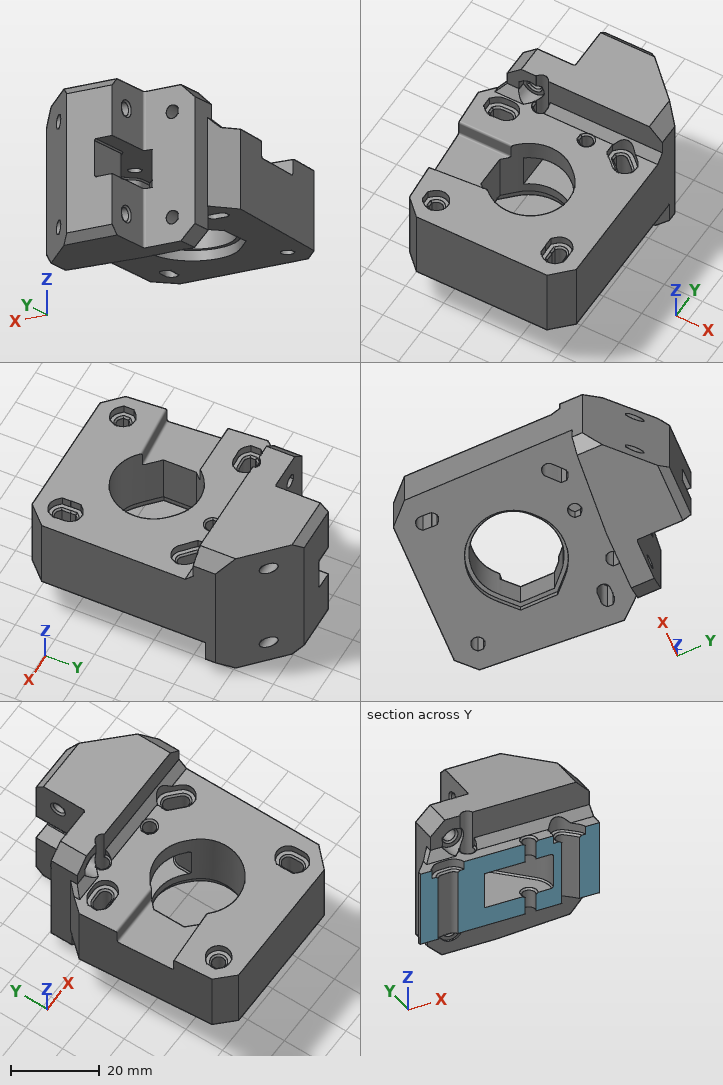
import cadquery as cq
import math

WIDTH = 45.7
LENGTH = 63.5
HEIGHT = 37.0
MID_Z = HEIGHT / 2

SWING_DEGREES = 4.0
LEAN = math.tan(math.radians(SWING_DEGREES))

PLATE_THICKNESS = 18.9
PLATE_BOTTOM = MID_Z - PLATE_THICKNESS / 2
PLATE_TOP = MID_Z + PLATE_THICKNESS / 2
PLATE_BACK_Y = 44.8
PLATE_CORNER_Y = 38.9
PLATE_LEFT_CHAMFER = 4.3
PLATE_RIGHT_CHAMFER = 4.8

BLOCK_LEFT = 5.15
BLOCK_FRONT_UPPER = 43.0
BLOCK_FRONT_LOWER = 44.45
LOWER_FACE_BEND_X = 22.75
ARM_BACK_Y = 50.1
BODY_LEFT = 18.7
INNER_CORNER_RADIUS = 0.5
BACK_RIGHT_CHAMFER = 14.9
BLOCK_CORNER_HEIGHT = 3.5
BLOCK_LEFT_CORNER_WIDTH = 3.7
BLOCK_RIGHT_CORNER_WIDTH = 3.4
BLOCK_BACK_CHAMFER = 2.05

FOOT_SIZE = 2.05

SCREW_RADIUS = 3.2 / 2
RIM_RADIUS = 4.05 / 2
HEAD_RADIUS = 6.0 / 2
RIM_DEPTH = RIM_RADIUS - SCREW_RADIUS
HEAD_DEPTH = 2.05

MOTOR_PIVOT = (8.2, 6.5)
MOTOR_SCREW_PITCH = 31.0
BORE_X = MOTOR_PIVOT[0] + MOTOR_SCREW_PITCH / 2
BORE_Y = MOTOR_PIVOT[1] + MOTOR_SCREW_PITCH / 2
BORE_RADIUS = 20.0 / 2
BOSS_RADIUS = 11.0
BOSS_DEPTH = 2.5

CHAMBER_HEIGHT = 9.0
CHAMBER_BOTTOM = MID_Z - CHAMBER_HEIGHT / 2
CHAMBER_CHAMFER = 0.4
CHAMBER_RIGHT = 30.55
CHAMBER_LEFT = 16.5
CHAMBER_FRONT_Y = 25.4
IDLER_CENTER = (28.2, 39.05)
IDLER_POCKET_RADIUS = 5.8
IDLER_BLEND_RADIUS = 2.55
EXIT_WALL_Y = 52.9
EXIT_BLEND_RADIUS = 2.2

SLOT_DEPTH = 4.0
SLOT_BACK_Y = 29.0
SLOT_FRONT_Y = 14.2
SLOT_EDGE_RADIUS = 0.6

TALL_HOLE_CENTER = (14.35, 42.4)
TALL_HOLE_RADIUS = 3.3 / 2
FRONT_SCREW_X = 11.2
BLOCK_SCREW_SPACING = 24.95
FRONT_HEAD_FLOOR_Y = 44.95
FRONT_HEAD_REACH = 5.1
SIDE_SCREW_Y = 57.5

MARGIN = 3.2
EDGE_TOLERANCE = 0.05


def level(z):
    return cq.Plane(origin=(0, 0, z))


def facing_front(y):
    return cq.Plane(origin=(0, y, 0), xDir=(1, 0, 0), normal=(0, -1, 0))


def teardrop(plane, center, radius):
    """Circle with 45 degree tangents on its -X side, cut off flat where the circle ends."""
    diagonal = radius * math.sqrt(0.5)
    half_flat = radius * math.tan(math.pi / 8)
    return (
        cq.Workplane(plane)
        .center(*center)
        .moveTo(-diagonal, -diagonal)
        .threePointArc((radius, 0), (-diagonal, diagonal))
        .lineTo(-radius, half_flat)
        .lineTo(-radius, -half_flat)
        .close()
    )


def plate_hole(center, radius, bottom, top, flare=0):
    """Teardrop hole along Z; flare=45 widens it upward."""
    return teardrop(level(bottom), center, radius).extrude(top - bottom, taper=-flare)


def swung_hole(center, radius, bottom, top, flare=0):
    """Plate hole lengthened into the curved slot that it sweeps as the motor swings."""
    pivot_x, pivot_y = MOTOR_PIVOT
    offset_x = center[0] - pivot_x
    offset_y = center[1] - pivot_y
    distance = math.hypot(offset_x, offset_y)
    hole = plate_hole(center, radius, bottom, top, flare)
    if distance == 0:
        return hole
    swing = math.radians(SWING_DEGREES)
    swung_center = (
        pivot_x + offset_x * math.cos(swing) - offset_y * math.sin(swing),
        pivot_y + offset_x * math.sin(swing) + offset_y * math.cos(swing),
    )
    top_radius = radius + (top - bottom) * math.tan(math.radians(flare))
    outward = cq.Plane(
        origin=(pivot_x, pivot_y, 0),
        xDir=(offset_x, offset_y, 0),
        normal=(offset_y, -offset_x, 0),
    )
    band = (
        cq.Workplane(outward)
        .polyline([
            (distance - radius, bottom),
            (distance + radius, bottom),
            (distance + top_radius, top),
            (distance - top_radius, top),
        ])
        .close()
        .revolve(SWING_DEGREES, (0, 0), (0, 1))
    )
    return hole.union(plate_hole(swung_center, radius, bottom, top, flare)).union(band)


def build_plate():
    front_left_x = (PLATE_CORNER_Y - PLATE_LEFT_CHAMFER) * LEAN
    outline = [
        (0, PLATE_CORNER_Y),
        (front_left_x, PLATE_LEFT_CHAMFER),
        (front_left_x + PLATE_LEFT_CHAMFER, 0),
        (WIDTH - PLATE_RIGHT_CHAMFER, 0),
        (WIDTH, PLATE_RIGHT_CHAMFER),
        (WIDTH, PLATE_BACK_Y),
        (BLOCK_LEFT, PLATE_BACK_Y),
    ]
    plate = cq.Workplane(level(PLATE_BOTTOM)).polyline(outline).close().extrude(PLATE_THICKNESS)
    foot_outline = cq.Workplane(level(PLATE_TOP)).polyline(outline).close().extrude(FOOT_SIZE)
    rim = plate_hole(TALL_HOLE_CENTER, TALL_HOLE_RADIUS, PLATE_TOP - RIM_DEPTH, PLATE_TOP, flare=45)
    return cut_side_slot(plate).cut(rim).union(build_foot(foot_outline))


def cut_side_slot(plate):
    """Open slot from the left side into the bore, with rounded upper and lower edges."""
    slot = (
        cq.Workplane(level(PLATE_TOP - SLOT_DEPTH))
        .polyline([
            (-MARGIN, SLOT_FRONT_Y - MARGIN * LEAN),
            (BORE_X, SLOT_FRONT_Y + BORE_X * LEAN),
            (BORE_X, SLOT_BACK_Y),
            (-MARGIN, SLOT_BACK_Y),
        ])
        .close()
        .extrude(SLOT_DEPTH)
        .faces("<Z")
        .edges("not(<X or >X)")
        .fillet(SLOT_EDGE_RADIUS)
    )
    slot_rim = cq.selectors.BoxSelector(
        (MARGIN, SLOT_FRONT_Y - MARGIN, PLATE_TOP - EDGE_TOLERANCE),
        (BORE_X - MARGIN, SLOT_BACK_Y + MARGIN, PLATE_TOP + EDGE_TOLERANCE),
    )
    return plate.cut(slot).edges(slot_rim).fillet(SLOT_EDGE_RADIUS)


def build_foot(plate_outline):
    """Slope along the front and left of the block, kept inside the plate outline."""
    left = BLOCK_LEFT - FOOT_SIZE
    front = BLOCK_FRONT_UPPER - FOOT_SIZE
    foot = (
        cq.Workplane(level(PLATE_TOP))
        .moveTo(left, front)
        .lineTo(WIDTH + MARGIN, front)
        .lineTo(WIDTH + MARGIN, LENGTH)
        .lineTo(left, LENGTH)
        .close()
        .extrude(FOOT_SIZE, taper=45)
        .intersect(plate_outline)
    )
    return foot.cut(tall_hole_clearance())


def tall_hole_clearance():
    """Clears the foot around the tall hole and in front of its 45 degree tangent."""
    hole_x, hole_y = TALL_HOLE_CENTER
    tangent_rise = hole_y - hole_x + TALL_HOLE_RADIUS * math.sqrt(2)
    front = hole_y - RIM_RADIUS
    corner = (
        cq.Workplane(level(PLATE_TOP))
        .polyline([
            (front - tangent_rise, front),
            (hole_x, front),
            (hole_x, BLOCK_FRONT_UPPER),
            (BLOCK_FRONT_UPPER - tangent_rise, BLOCK_FRONT_UPPER),
        ])
        .close()
        .extrude(FOOT_SIZE)
    )
    return corner.union(plate_hole(TALL_HOLE_CENTER, RIM_RADIUS, PLATE_TOP, PLATE_TOP + FOOT_SIZE))


def build_block():
    plan = (
        cq.Workplane("XY")
        .polyline([
            (BLOCK_LEFT, BLOCK_FRONT_UPPER),
            (WIDTH, BLOCK_FRONT_UPPER),
            (WIDTH, LENGTH - BACK_RIGHT_CHAMFER),
            (WIDTH - BACK_RIGHT_CHAMFER, LENGTH),
            (BODY_LEFT, LENGTH),
            (BODY_LEFT, ARM_BACK_Y),
            (BLOCK_LEFT, ARM_BACK_Y),
        ])
        .close()
        .extrude(HEIGHT)
    )
    inner_corner = cq.selectors.BoxSelector(
        (BODY_LEFT - EDGE_TOLERANCE, ARM_BACK_Y - EDGE_TOLERANCE, 0),
        (BODY_LEFT + EDGE_TOLERANCE, ARM_BACK_Y + EDGE_TOLERANCE, HEIGHT),
    )
    plan = plan.edges(inner_corner).fillet(INNER_CORNER_RADIUS)
    front_shape = (
        cq.Workplane(facing_front(LENGTH))
        .polyline([
            (BLOCK_LEFT, BLOCK_CORNER_HEIGHT),
            (BLOCK_LEFT + BLOCK_LEFT_CORNER_WIDTH, 0),
            (WIDTH - BLOCK_RIGHT_CORNER_WIDTH, 0),
            (WIDTH, BLOCK_CORNER_HEIGHT),
            (WIDTH, HEIGHT - BLOCK_CORNER_HEIGHT),
            (WIDTH - BLOCK_RIGHT_CORNER_WIDTH, HEIGHT),
            (BLOCK_LEFT + BLOCK_LEFT_CORNER_WIDTH, HEIGHT),
            (BLOCK_LEFT, HEIGHT - BLOCK_CORNER_HEIGHT),
        ])
        .close()
        .extrude(LENGTH)
    )
    side_shape = (
        cq.Workplane("XY")
        .box(WIDTH, LENGTH, HEIGHT, centered=False)
        .edges(">Y and |X")
        .chamfer(BLOCK_BACK_CHAMFER)
    )
    return plan.intersect(front_shape).intersect(side_shape).cut(lower_front_relief())


def lower_front_relief():
    """Sets the block front back below the plate; its right part leans slightly backward."""
    right = WIDTH + MARGIN
    lean = (right - LOWER_FACE_BEND_X) * LEAN
    return (
        cq.Workplane("XY")
        .polyline([
            (0, 0),
            (right, 0),
            (right, BLOCK_FRONT_LOWER + lean),
            (LOWER_FACE_BEND_X, BLOCK_FRONT_LOWER),
            (0, BLOCK_FRONT_LOWER),
        ])
        .close()
        .extrude(PLATE_BOTTOM)
    )


def motor_cuts():
    """Bore, boss recess below it and the four head-recessed screw holes."""
    bore = (BORE_X, BORE_Y)
    head_floor = PLATE_TOP - HEAD_DEPTH
    cuts = swung_hole(bore, BORE_RADIUS, PLATE_BOTTOM, HEIGHT)
    cuts = cuts.union(swung_hole(bore, BOSS_RADIUS, PLATE_BOTTOM, PLATE_BOTTOM + BOSS_DEPTH))
    for x in (MOTOR_PIVOT[0], MOTOR_PIVOT[0] + MOTOR_SCREW_PITCH):
        for y in (MOTOR_PIVOT[1], MOTOR_PIVOT[1] + MOTOR_SCREW_PITCH):
            screw = (x, y)
            shaft = swung_hole(screw, SCREW_RADIUS, PLATE_BOTTOM, head_floor)
            rim = swung_hole(screw, SCREW_RADIUS, head_floor - RIM_DEPTH, head_floor, flare=45)
            head = swung_hole(screw, HEAD_RADIUS, head_floor, HEIGHT)
            cuts = cuts.union(shaft).union(rim).union(head)
    return cuts


def belt_chamber():
    """Chamber from the bore past the idler, leaving through the left and back of the body."""
    idler_x, idler_y = IDLER_CENTER
    diagonal = math.sqrt(0.5)

    blend_x = CHAMBER_RIGHT + IDLER_BLEND_RADIUS
    reach = IDLER_POCKET_RADIUS + IDLER_BLEND_RADIUS
    blend_y = idler_y - math.sqrt(reach**2 - (blend_x - idler_x) ** 2)
    share = IDLER_POCKET_RADIUS / reach
    blend_end = (idler_x + (blend_x - idler_x) * share, idler_y + (blend_y - idler_y) * share)
    blend_angle = math.atan2(blend_end[1] - blend_y, blend_end[0] - blend_x)
    blend_middle_angle = (blend_angle + math.pi) / 2
    blend_middle = (
        blend_x + IDLER_BLEND_RADIUS * math.cos(blend_middle_angle),
        blend_y + IDLER_BLEND_RADIUS * math.sin(blend_middle_angle),
    )

    leave_x = idler_x + IDLER_POCKET_RADIUS * diagonal
    leave_y = idler_y + IDLER_POCKET_RADIUS * diagonal
    bend_y = EXIT_WALL_Y - EXIT_BLEND_RADIUS * diagonal
    bend_x = leave_x + leave_y - bend_y
    exit_x = bend_x - EXIT_BLEND_RADIUS * (1 - diagonal)
    exit_center_x = exit_x + EXIT_BLEND_RADIUS
    exit_middle = (
        exit_center_x - EXIT_BLEND_RADIUS * math.cos(math.pi / 8),
        EXIT_WALL_Y - EXIT_BLEND_RADIUS * math.sin(math.pi / 8),
    )
    return (
        cq.Workplane(level(CHAMBER_BOTTOM))
        .moveTo(CHAMBER_RIGHT, CHAMBER_FRONT_Y)
        .lineTo(CHAMBER_RIGHT, blend_y)
        .threePointArc(blend_middle, blend_end)
        .threePointArc((idler_x + IDLER_POCKET_RADIUS, idler_y), (leave_x, leave_y))
        .lineTo(bend_x, bend_y)
        .threePointArc(exit_middle, (exit_x, EXIT_WALL_Y))
        .lineTo(exit_x, LENGTH + MARGIN)
        .lineTo(CHAMBER_LEFT, LENGTH + MARGIN)
        .lineTo(CHAMBER_LEFT, CHAMBER_FRONT_Y)
        .close()
        .extrude(CHAMBER_HEIGHT)
        .faces("|Z")
        .edges("not(<X or <Y or >Y)")
        .chamfer(CHAMBER_CHAMFER)
    )


def idler_screw():
    """Hole through the plate, with a chamfered rim at the plate top and the chamber floor."""
    cuts = plate_hole(IDLER_CENTER, SCREW_RADIUS, PLATE_BOTTOM, PLATE_TOP)
    for rim_z in (PLATE_TOP, CHAMBER_BOTTOM):
        cuts = cuts.union(plate_hole(IDLER_CENTER, SCREW_RADIUS, rim_z - RIM_DEPTH, rim_z, flare=45))
    return cuts


def tall_hole():
    """Hole over the full height that grazes the block front."""
    return plate_hole(TALL_HOLE_CENTER, TALL_HOLE_RADIUS, 0, HEIGHT)


def front_screw(z):
    """Screw hole along Y through the arm, with a head recess at the front."""
    center = (FRONT_SCREW_X, z)
    plane = facing_front(FRONT_HEAD_FLOOR_Y)
    shaft = teardrop(plane, center, SCREW_RADIUS).extrude(-LENGTH)
    rim = teardrop(facing_front(FRONT_HEAD_FLOOR_Y + RIM_DEPTH), center, SCREW_RADIUS)
    head = teardrop(plane, center, HEAD_RADIUS).extrude(FRONT_HEAD_REACH)
    return shaft.union(rim.extrude(RIM_DEPTH, taper=-45)).union(head)


def side_screw(z):
    """Screw hole along X through the body, chamfered at its left face."""
    plane = cq.Plane(origin=(BODY_LEFT, SIDE_SCREW_Y, z), xDir=(0, 1, 0), normal=(1, 0, 0))
    face = cq.Workplane(plane)
    rim = face.circle(RIM_RADIUS).extrude(RIM_DEPTH, taper=45)
    return face.circle(SCREW_RADIUS).extrude(WIDTH).union(rim)


result = build_plate().union(build_block())
cuts = [motor_cuts(), belt_chamber(), idler_screw(), tall_hole()]
for side in (-1, 1):
    screw_z = MID_Z + side * BLOCK_SCREW_SPACING / 2
    cuts += [front_screw(screw_z), side_screw(screw_z)]
for cut in cuts:
    result = result.cut(cut)